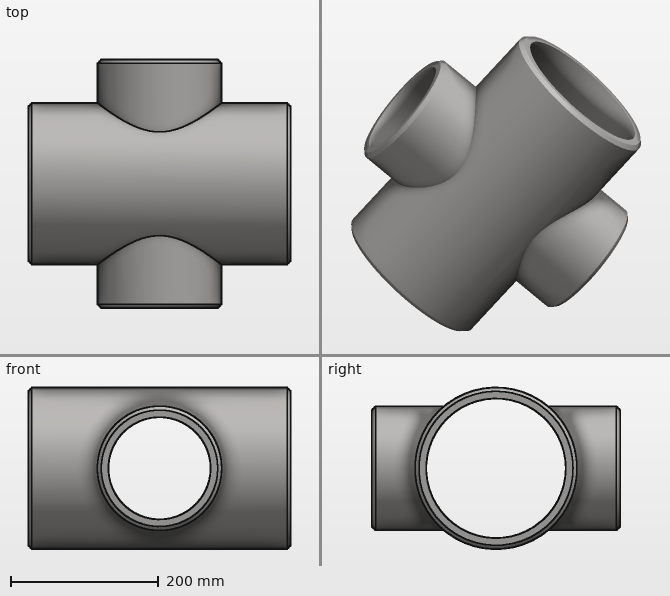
import cadquery as cq

run_length = 355.5
run_diameter = 219.0
run_bore = 188.5

branch_length = 336.5
branch_diameter = 168.2
branch_bore = 138.0

bevel = 5.5


def centred_cylinder(plane, diameter, length):
    """Solid cylinder centred on the origin, along the plane's normal."""
    return cq.Workplane(plane).circle(diameter / 2).extrude(length / 2, both=True)


def bevelled_cylinder(plane, diameter, length):
    """Centred cylinder with both end edges bevelled."""
    return centred_cylinder(plane, diameter, length).edges("%CIRCLE").chamfer(bevel)


run = bevelled_cylinder("YZ", run_diameter, run_length)
branch = bevelled_cylinder("XZ", branch_diameter, branch_length)
body = run.union(branch)

run_hole = centred_cylinder("YZ", run_bore, run_length)
branch_hole = centred_cylinder("XZ", branch_bore, branch_length)
result = body.cut(run_hole).cut(branch_hole)